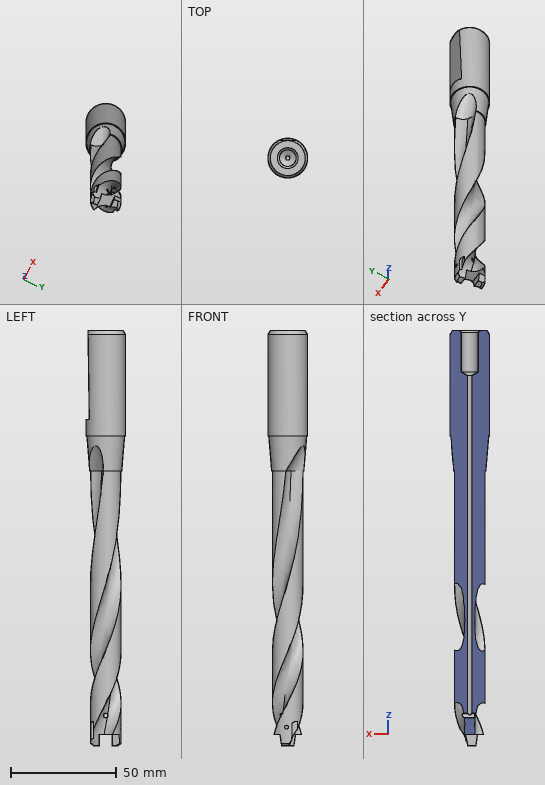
import cadquery as cq
import math

total_length = 197.6
shank_bottom = 147.5
neck_top = 130.8

shank_radius = 9.5
cone_top_radius = 9.0
cone_bottom_radius = 7.7
neck_radius = 7.3
end_chamfer_radial = 1.2
end_chamfer_height = 2.0
tip_chamfer_radial = 1.5
tip_chamfer_height = 1.2

bore_radius = 4.0
bore_depth = 19.8
bore_point_angle = 118.0
countersink = 1.0
coolant_radius = 1.0
coolant_exit_height = 14.5

flat_bottom = 155.3
flat_tilt = 0.8
flat_bottom_distance = 8.0

flute_core_radius = 2.5
flute_half_angle = 44.0
flute_outer_reach = 5.0
flute_start_height = -2.0
flute_section_count = 34
steepest_twist = 4.605
zero_twist_height = 156.1
crossing_height = 59.9
runout_top = 143.5
runout_turn = 20.0

seat_depth = 5.3
seat_slot_width = 6.1
prong_root_width = 7.5
prong_tip_width = 6.0

notch_side = 2.0
notch_floor = 5.7
notch_top = 11.5
notch_corner_radius = 1.5

pin_radius = 0.89
pin_offset = 0.5
pin_height = 8.9
pin_inner_end = 3.2
pin_outer_end = 6.1

half_turns = (0, 180)


def spin(solid, angle):
    """Turn a shape about the drill axis."""
    return solid.rotate((0, 0, 0), (0, 0, 1), angle)


def make_blank():
    """Turned body: chamfered tip, neck, cone and shank."""
    return (
        cq.Workplane("XZ")
        .moveTo(0, 0)
        .lineTo(-(neck_radius - tip_chamfer_radial), 0)
        .lineTo(-neck_radius, tip_chamfer_height)
        .lineTo(-neck_radius, neck_top)
        .lineTo(-cone_bottom_radius, neck_top)
        .lineTo(-cone_top_radius, shank_bottom)
        .lineTo(-shank_radius, shank_bottom)
        .lineTo(-shank_radius, total_length - end_chamfer_height)
        .lineTo(-(shank_radius - end_chamfer_radial), total_length)
        .lineTo(0, total_length)
        .close()
        .revolve(360, (0, 0, 0), (0, 1, 0))
    )


def make_rear_bore():
    """Countersunk blind bore with a drilled point and an axial coolant hole."""
    bore_bottom = total_length - bore_depth
    point_height = bore_radius / math.tan(math.radians(bore_point_angle / 2))
    bore = (
        cq.Workplane("XZ")
        .moveTo(0, total_length)
        .lineTo(bore_radius + countersink, total_length)
        .lineTo(bore_radius, total_length - countersink)
        .lineTo(bore_radius, bore_bottom)
        .lineTo(0, bore_bottom - point_height)
        .close()
        .revolve(360, (0, 0, 0), (0, 1, 0))
    )
    coolant = (
        cq.Workplane("XY", origin=(0, 0, coolant_exit_height))
        .circle(coolant_radius)
        .extrude(bore_bottom - coolant_exit_height)
    )
    return bore.union(coolant)


def make_coolant_exit():
    """Cross hole that opens into both flutes."""
    return (
        cq.Workplane("YZ")
        .center(0, coolant_exit_height)
        .circle(coolant_radius)
        .extrude(neck_radius, both=True)
    )


def make_flat():
    """Wedge cut away to leave the slanted clamping flat."""
    flat_length = total_length - flat_bottom
    top_distance = flat_bottom_distance + flat_length * math.tan(math.radians(flat_tilt))
    return (
        cq.Workplane("YZ")
        .moveTo(flat_bottom_distance, flat_bottom)
        .lineTo(2 * shank_radius, flat_bottom)
        .lineTo(2 * shank_radius, total_length)
        .lineTo(top_distance, total_length)
        .close()
        .extrude(shank_radius, both=True)
    )


def turned(height):
    """Degrees the helix has turned from the tip, as its rate falls evenly to zero."""
    return steepest_twist * (height - height**2 / (2 * zero_twist_height))


def flute_angle(height):
    """Direction from +X that the first flute faces at a height."""
    return 180 + turned(height) - turned(crossing_height)


def flute_profile(height, angle, shift=0.0):
    """Outline of one flute: an arc for its wall, open to the outside."""
    half = math.radians(flute_half_angle)
    edge_x = neck_radius * math.cos(half) + shift
    edge_y = neck_radius * math.sin(half)
    core_x = flute_core_radius + shift
    outer_x = edge_x + flute_outer_reach * math.cos(half)
    outer_y = edge_y + flute_outer_reach * math.sin(half)

    rise = edge_x - core_x
    arc_radius = (edge_y**2 + rise**2) / (2 * rise)
    quarter = math.asin(edge_y / arc_radius) / 2
    mid_x = core_x + arc_radius * (1 - math.cos(quarter))
    mid_y = arc_radius * math.sin(quarter)

    outline = (
        cq.Workplane("XY", origin=(0, 0, height))
        .moveTo(edge_x, -edge_y)
        .threePointArc((mid_x, -mid_y), (core_x, 0))
        .threePointArc((mid_x, mid_y), (edge_x, edge_y))
        .lineTo(outer_x, outer_y)
        .lineTo(outer_x, -outer_y)
        .close()
    )
    return spin(outline.wire().val(), angle)


def make_flute():
    """Twisted flute with a short straight runout into the cone."""
    step = (neck_top - flute_start_height) / flute_section_count
    heights = [flute_start_height + i * step for i in range(flute_section_count + 1)]
    twisted = cq.Solid.makeLoft([flute_profile(z, flute_angle(z)) for z in heights])
    top_angle = flute_angle(neck_top)
    runout_shift = cone_top_radius - flute_core_radius
    runout = cq.Solid.makeLoft(
        [
            flute_profile(neck_top, top_angle),
            flute_profile(runout_top, top_angle + runout_turn, runout_shift),
        ],
        True,
    )
    return twisted, runout


def make_seat():
    """Material removed at the tip, leaving two tapered prongs for the insert."""
    side = 3 * neck_radius
    around = cq.Workplane("XY").rect(side, side).extrude(seat_depth)
    prongs = (
        cq.Workplane("XZ")
        .moveTo(-prong_tip_width / 2, 0)
        .lineTo(prong_tip_width / 2, 0)
        .lineTo(prong_root_width / 2, seat_depth)
        .lineTo(-prong_root_width / 2, seat_depth)
        .close()
        .extrude(side, both=True)
    )
    slot = cq.Workplane("XY").rect(side, seat_slot_width).extrude(seat_depth)
    return around.cut(prongs).union(slot)


def make_notch():
    """Chip relief on the +X side of the -Y prong."""
    depth = neck_radius - notch_floor
    return (
        cq.Workplane("XY")
        .box(neck_radius, 2 * depth, notch_top, centered=False)
        .edges("<X and >Z")
        .fillet(notch_corner_radius)
        .translate((notch_side, -notch_floor - 2 * depth, 0))
    )


def make_pin(inner_end, outer_end):
    """Cylinder along -Y at the pin position, also used for the pin hole."""
    return (
        cq.Workplane("XZ", origin=(0, -inner_end, 0))
        .center(-pin_offset, pin_height)
        .circle(pin_radius)
        .extrude(outer_end - inner_end)
    )


def make_drill_body():
    """Drill with its flutes, bore, coolant holes, flat, notches, pin holes and insert seat."""
    twisted, runout = make_flute()
    flutes = [spin(cutter, angle) for cutter in (twisted, runout) for angle in half_turns]
    body = cq.Workplane(make_blank().val().cut(*flutes))
    body = body.cut(make_rear_bore()).cut(make_coolant_exit()).cut(make_flat())
    pin_hole = make_pin(pin_inner_end, neck_radius)
    for angle in half_turns:
        body = body.cut(spin(make_notch(), angle))
        body = body.cut(spin(pin_hole, angle))
    return body.cut(make_seat())


drill_body = make_drill_body()
pins = [spin(make_pin(pin_inner_end, pin_outer_end), angle).val() for angle in half_turns]

result = cq.Compound.makeCompound([drill_body.val(), *pins])